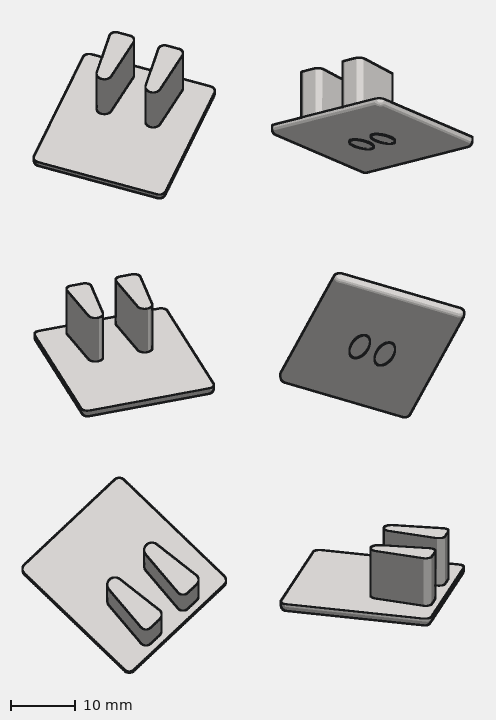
import cadquery as cq
import math

plate_width = 21.6
plate_length = 24.0
plate_thickness = 1.5
edge_radius = 1.0

peg_height = 8.0
peg_width = 3.98
peg_length = 10.0
peg_spacing = 8.02
peg_edge_gap = 1.18
peg_corner_radius = 1.0
peg_tip_radius = 1.2

pad_width = 2.74
pad_length = 5.1
pad_spacing = 4.18
pad_height = 0.15


def make_plate():
    block = cq.Workplane("XY").box(
        plate_width, plate_length, plate_thickness, centered=(True, True, False)
    ).translate((0, 0, -plate_thickness))
    return block.edges("|Z").fillet(edge_radius).faces("<Z").edges().fillet(edge_radius)


def make_peg(center_x):
    """Peg with two rounded wide corners and a round tip, joined by tangent sides."""
    back_y = plate_length / 2 - peg_edge_gap
    corner_x = peg_width / 2 - peg_corner_radius
    corner_y = back_y - peg_corner_radius
    tip_y = back_y - peg_length + peg_tip_radius

    rise = corner_y - tip_y
    center_distance = math.hypot(corner_x, rise)
    side_angle = math.atan2(corner_x, rise) - math.asin(
        (peg_tip_radius - peg_corner_radius) / center_distance
    )

    def corner_point(side, angle):
        return (
            side * (corner_x + peg_corner_radius * math.cos(angle)),
            corner_y + peg_corner_radius * math.sin(angle),
        )

    def tip_point(side):
        return (
            side * peg_tip_radius * math.cos(side_angle),
            tip_y - peg_tip_radius * math.sin(side_angle),
        )

    middle_angle = math.pi / 4
    return (
        cq.Workplane("XY")
        .moveTo(-corner_x, back_y)
        .lineTo(corner_x, back_y)
        .threePointArc(corner_point(1, middle_angle), corner_point(1, -side_angle))
        .lineTo(*tip_point(1))
        .threePointArc((0, tip_y - peg_tip_radius), tip_point(-1))
        .lineTo(*corner_point(-1, -side_angle))
        .threePointArc(corner_point(-1, middle_angle), (-corner_x, back_y))
        .close()
        .extrude(peg_height)
        .translate((center_x, 0, 0))
    )


def make_pad(center_x):
    return (
        cq.Workplane("XY", origin=(center_x, 0, -plate_thickness))
        .ellipse(pad_width / 2, pad_length / 2)
        .extrude(-pad_height)
    )


result = make_plate()
for side in (-1, 1):
    result = result.union(make_peg(side * peg_spacing / 2))
    result = result.union(make_pad(side * pad_spacing / 2))